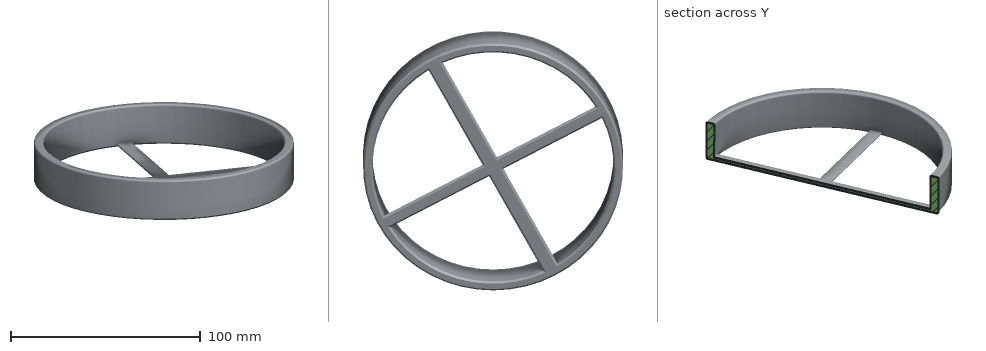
import math

import cadquery as cq

outer_diameter = 137.0
wall_thickness = 5.0
ring_height = 22.0
rim_fillet = 1.0

x_bar_width = 8.5
y_bar_width = 7.0
bar_height = 2.0
bar_fillet = 0.7

base_chamfer = 1.0

outer_radius = outer_diameter / 2
inner_radius = outer_radius - wall_thickness


def make_ring():
    """Tube with rounded upper rims and a chamfered lower outer rim."""
    disc = cq.Workplane("XY").circle(outer_radius).extrude(ring_height)
    disc = disc.faces("<Z").edges().chamfer(base_chamfer)
    bore = cq.Workplane("XY").circle(inner_radius).extrude(ring_height)
    return disc.cut(bore).faces(">Z").edges().fillet(rim_fillet)


def make_cross():
    """Two crossed bars with rounded top edges, ending inside the ring wall."""
    bar_length = 2 * inner_radius + wall_thickness
    x_bar = cq.Workplane("XY").rect(bar_length, x_bar_width).extrude(bar_height)
    y_bar = cq.Workplane("XY").rect(y_bar_width, bar_length).extrude(bar_height)
    return x_bar.union(y_bar).faces(">Z").edges().fillet(bar_fillet)


def draw_window(plane, growth):
    """Outline of the window in the +X +Y quadrant, grown outward on every side."""
    radius = inner_radius + growth
    x_start = y_bar_width / 2 - growth
    y_start = x_bar_width / 2 - growth
    x_end = math.sqrt(radius**2 - y_start**2)
    y_end = math.sqrt(radius**2 - x_start**2)
    arc_middle = radius * math.sqrt(0.5)
    return (
        plane.moveTo(x_start, y_start)
        .lineTo(x_end, y_start)
        .threePointArc((arc_middle, arc_middle), (x_start, y_end))
        .close()
    )


def make_window_bevels():
    """Four tapered cutters that chamfer the lower edges of the windows."""
    lower_outline = draw_window(cq.Workplane("XY"), base_chamfer)
    upper_plane = lower_outline.workplane(offset=base_chamfer, origin=(0, 0, 0))
    bevel = draw_window(upper_plane, 0).loft(ruled=True)
    bevels = bevel.union(bevel.mirror("YZ"))
    return bevels.union(bevels.mirror("XZ"))


result = make_ring().union(make_cross()).cut(make_window_bevels())